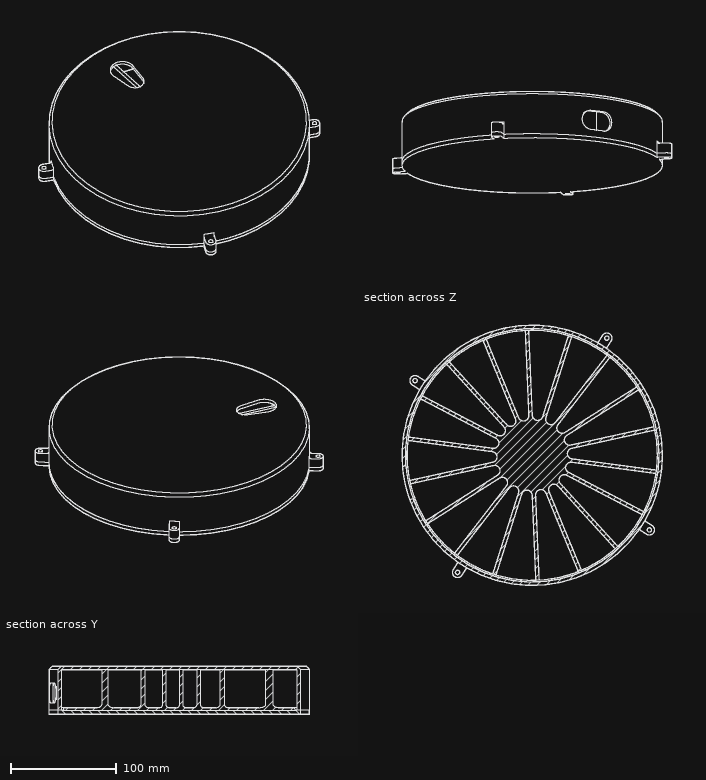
import cadquery as cq
import math

DRUM_DIAMETER = 248.0
DRUM_RADIUS = DRUM_DIAMETER / 2
DRUM_HEIGHT = 46.0
BASE_THICKNESS = 4.0
WALL_INNER_DIAMETER = 241.0
WALL_INNER_RADIUS = WALL_INNER_DIAMETER / 2
LID_THICKNESS = DRUM_RADIUS - WALL_INNER_RADIUS
RIM_CHAMFER = 3.0
HOUSING_HEIGHT = DRUM_HEIGHT - BASE_THICKNESS

LUG_COUNT = 4
LUG_FIRST_ANGLE = 57.5
LUG_HOLE_RADIAL = 132.2
LUG_WIDTH = 10.0
LUG_HOLE_DIAMETER = 4.0
LUG_HEIGHT = 13.6
LUG_GUSSET_RADIUS = 2.2

COMPARTMENT_COUNT = 18
COMPARTMENT_PITCH = 360.0 / COMPARTMENT_COUNT
ROTOR_CLEARANCE = 1.5
ROTOR_RADIUS = WALL_INNER_RADIUS - ROTOR_CLEARANCE
ROTOR_HEIGHT = HOUSING_HEIGHT - LID_THICKNESS
ROTOR_FLOOR_THICKNESS = 2.5
FLOOR_TOP_Z = BASE_THICKNESS + ROTOR_FLOOR_THICKNESS
PARTITION_THICKNESS = 3.5
PARTITION_FILLET = 3.0
APEX_FILLET = 5.0
PARTITION_END_FILLET = 0.5
PARTITION_ANGLE = 172.4

SLOT_ANGLE = PARTITION_ANGLE
SLOT_OUTER_RADIAL = 87.8
SLOT_OUTER_DIAMETER = 23.0
SLOT_INNER_RADIAL = 68.7
SLOT_INNER_DIAMETER = 17.5

WINDOW_ANGLE = PARTITION_ANGLE + COMPARTMENT_PITCH
WINDOW_LENGTH = 32.5
WINDOW_HEIGHT = 18.5
WINDOW_CENTRE_Z = 20.3


def lug_angles():
    return [LUG_FIRST_ANGLE + i * 360.0 / LUG_COUNT for i in range(LUG_COUNT)]


def turned(shape, angle):
    """Turn a shape about the drum axis."""
    return shape.rotate((0, 0, 0), (0, 0, 1), angle)


def lug(height, bottom):
    """Radial tongue with a round end, long enough to sink into the drum wall."""
    return (
        cq.Workplane("XY", origin=(0, 0, bottom))
        .moveTo(WALL_INNER_RADIUS, -LUG_WIDTH / 2)
        .lineTo(LUG_HOLE_RADIAL, -LUG_WIDTH / 2)
        .threePointArc((LUG_HOLE_RADIAL + LUG_WIDTH / 2, 0), (LUG_HOLE_RADIAL, LUG_WIDTH / 2))
        .lineTo(WALL_INNER_RADIUS, LUG_WIDTH / 2)
        .close()
        .extrude(height)
    )


def lug_hole():
    return (
        cq.Workplane("XY", origin=(LUG_HOLE_RADIAL, 0, 0))
        .circle(LUG_HOLE_DIAMETER / 2)
        .extrude(LUG_HEIGHT)
    )


def lug_gusset():
    """Concave fillet between the top of a lug and the drum wall."""
    toe_x = DRUM_RADIUS + LUG_GUSSET_RADIUS
    crest_z = LUG_HEIGHT + LUG_GUSSET_RADIUS
    sag = LUG_GUSSET_RADIUS * math.sqrt(0.5)
    return (
        cq.Workplane("XZ", origin=(0, LUG_WIDTH / 2, 0))
        .moveTo(WALL_INNER_RADIUS, LUG_HEIGHT)
        .lineTo(toe_x, LUG_HEIGHT)
        .threePointArc((toe_x - sag, crest_z - sag), (DRUM_RADIUS, crest_z))
        .lineTo(WALL_INNER_RADIUS, crest_z)
        .close()
        .extrude(LUG_WIDTH)
    )


def filling_slot():
    """Tapered slot: two end circles joined by their common tangents, wide end outward."""
    outer_radius = SLOT_OUTER_DIAMETER / 2
    inner_radius = SLOT_INNER_DIAMETER / 2
    taper = math.asin((outer_radius - inner_radius) / (SLOT_OUTER_RADIAL - SLOT_INNER_RADIAL))
    outer_x = SLOT_OUTER_RADIAL - outer_radius * math.sin(taper)
    outer_y = outer_radius * math.cos(taper)
    inner_x = SLOT_INNER_RADIAL - inner_radius * math.sin(taper)
    inner_y = inner_radius * math.cos(taper)
    slot = (
        cq.Workplane("XY", origin=(0, 0, DRUM_HEIGHT - LID_THICKNESS))
        .moveTo(inner_x, -inner_y)
        .lineTo(outer_x, -outer_y)
        .threePointArc((SLOT_OUTER_RADIAL + outer_radius, 0), (outer_x, outer_y))
        .lineTo(inner_x, inner_y)
        .threePointArc((SLOT_INNER_RADIAL - inner_radius, 0), (inner_x, -inner_y))
        .close()
        .extrude(LID_THICKNESS)
    )
    return turned(slot, SLOT_ANGLE)


def side_window():
    """Round-ended opening; its depth overshoots the drum wall on both sides."""
    opening = (
        cq.Workplane("YZ", origin=(WALL_INNER_RADIUS - WINDOW_LENGTH / 2, 0, WINDOW_CENTRE_Z))
        .slot2D(WINDOW_LENGTH, WINDOW_HEIGHT)
        .extrude(WINDOW_LENGTH)
    )
    return turned(opening, WINDOW_ANGLE)


def make_housing():
    shell = (
        cq.Workplane("XY", origin=(0, 0, BASE_THICKNESS))
        .circle(DRUM_RADIUS)
        .extrude(HOUSING_HEIGHT)
        .faces(">Z")
        .edges()
        .chamfer(RIM_CHAMFER)
    )
    for angle in lug_angles():
        shell = shell.union(turned(lug(LUG_HEIGHT - BASE_THICKNESS, BASE_THICKNESS), angle))
        shell = shell.union(turned(lug_gusset(), angle))
        shell = shell.cut(turned(lug_hole(), angle))
    cavity = (
        cq.Workplane("XY", origin=(0, 0, BASE_THICKNESS))
        .circle(WALL_INNER_RADIUS)
        .extrude(HOUSING_HEIGHT - LID_THICKNESS)
    )
    return shell.cut(cavity).cut(filling_slot()).cut(side_window())


def make_base():
    plate = cq.Workplane("XY").circle(DRUM_RADIUS).extrude(BASE_THICKNESS)
    for angle in lug_angles():
        plate = plate.union(turned(lug(BASE_THICKNESS, 0), angle))
        plate = plate.cut(turned(lug_hole(), angle))
    return plate


def compartment():
    """Wedge between two partitions, rounded along its floor and at its inner corner."""
    half_angle = math.radians(COMPARTMENT_PITCH / 2)
    apex = PARTITION_THICKNESS / 2 / math.sin(half_angle)
    reach = DRUM_DIAMETER
    half_width = (reach - apex) * math.tan(half_angle)
    return (
        cq.Workplane("XY", origin=(0, 0, FLOOR_TOP_Z))
        .polyline([(apex, 0), (reach, -half_width), (reach, half_width)])
        .close()
        .extrude(ROTOR_HEIGHT)
        .edges("|Z and <X")
        .fillet(APEX_FILLET)
        .faces("<Z")
        .edges("not >X")
        .fillet(PARTITION_FILLET)
    )


def is_partition_end(edge):
    """True for the upright edges at the outer ends of the partitions."""
    centre = edge.Center()
    on_rim = math.hypot(centre.x, centre.y) > ROTOR_RADIUS / 2
    return on_rim and centre.z > FLOOR_TOP_Z


def make_rotor():
    rotor = (
        cq.Workplane("XY", origin=(0, 0, BASE_THICKNESS))
        .circle(ROTOR_RADIUS)
        .extrude(ROTOR_HEIGHT)
    )
    pocket = compartment()
    first_pocket_angle = PARTITION_ANGLE + COMPARTMENT_PITCH / 2
    for i in range(COMPARTMENT_COUNT):
        rotor = rotor.cut(turned(pocket, first_pocket_angle + i * COMPARTMENT_PITCH))
    return rotor.edges("|Z").filter(is_partition_end).fillet(PARTITION_END_FILLET)


housing = make_housing()
base = make_base()
rotor = make_rotor()

result = cq.Compound.makeCompound([housing.val(), base.val(), rotor.val()])